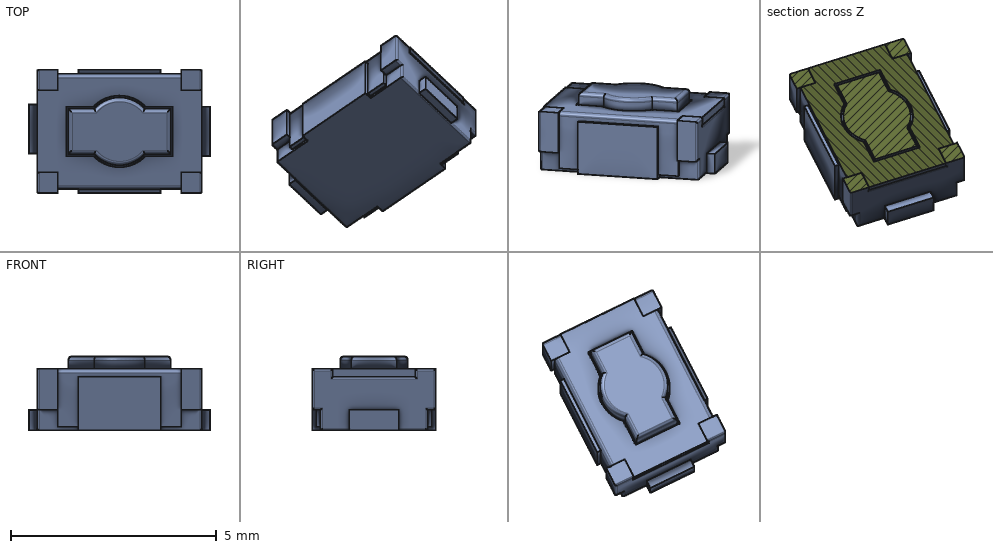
import cadquery as cq
import math

overall_length = 4.4
overall_height = 1.8

housing_length = 4.0
housing_width = 3.0
housing_height = 1.5
post_side = 0.5
end_round = 0.05
undercut_height = 0.495
undercut_depth = 0.2

cover_thickness = 0.2
cover_wall = 0.1
cover_round = 0.1
cover_ground_gap = 0.09

side_block_length = 2.0

button_length = 2.49
button_bar_width = 1.1
button_radius = 0.825
button_round = 0.095
button_gap = 0.05

terminal_width = 1.195
terminal_height = undercut_height
left_terminal_shift = 0.055

core_width = housing_width - 2 * undercut_depth
core_height = housing_height - cover_thickness
post_gap_x = housing_length - 2 * post_side
post_gap_y = housing_width - 2 * post_side
cover_width = core_width + 2 * cover_wall
terminal_length = (overall_length - housing_length) / 2


def block(length, width, bottom, top):
    """Box centred on the Z axis between two heights."""
    return (
        cq.Workplane("XY")
        .workplane(offset=bottom)
        .rect(length, width)
        .extrude(top - bottom)
    )


def button_outline(margin, bottom, top):
    """Bar with a round centre, grown outward by a margin."""
    half_length = button_length / 2 + margin
    half_width = button_bar_width / 2 + margin
    radius = button_radius + margin
    meet_x = math.sqrt(radius**2 - half_width**2)
    return (
        cq.Workplane("XY")
        .workplane(offset=bottom)
        .moveTo(-half_length, -half_width)
        .lineTo(-meet_x, -half_width)
        .threePointArc((0, -radius), (meet_x, -half_width))
        .lineTo(half_length, -half_width)
        .lineTo(half_length, half_width)
        .lineTo(meet_x, half_width)
        .threePointArc((0, radius), (-meet_x, half_width))
        .lineTo(-half_length, half_width)
        .close()
        .extrude(top - bottom)
    )


def make_housing():
    """Moulded block with corner posts, side blocks and the button on its top."""
    lower = block(housing_length, core_width, 0, undercut_height)
    upper = block(housing_length, housing_width, undercut_height, housing_height)
    top_recess = block(housing_length, post_gap_y, core_height, housing_height)
    body = lower.union(upper).cut(top_recess)
    body = body.faces("<X or >X").edges().fillet(end_round)

    middle = block(post_gap_x, housing_width, 0, housing_height)
    core = block(post_gap_x, core_width, 0, core_height)
    body = body.cut(middle.cut(core))

    side_blocks = block(side_block_length, housing_width, 0, core_height)
    button = button_outline(0, core_height, overall_height)
    button = button.faces(">Z").edges().fillet(button_round)
    return body.union(side_blocks).union(button).solids()


def make_cover():
    """Sheet cover: cross-shaped top plate and two windowed side walls."""
    shell = block(post_gap_x, cover_width, cover_ground_gap, housing_height)
    shell = shell.faces(">Z").edges("|X").fillet(cover_round)
    shell = shell.cut(block(post_gap_x, core_width, 0, core_height))

    end_tongues = block(housing_length, post_gap_y, core_height, housing_height)
    windows = block(side_block_length, housing_width, 0, core_height)
    opening = button_outline(button_gap, core_height, housing_height)
    return shell.union(end_tongues).cut(windows).cut(opening).solids()


def make_terminal(side, shift):
    """Solder terminal on one end face; side is -1 or +1 along X."""
    center_x = side * (housing_length + terminal_length) / 2
    terminal = block(terminal_length, terminal_width, 0, terminal_height)
    return terminal.translate((center_x, shift, 0))


housing = make_housing()
cover = make_cover()
terminals = [
    make_terminal(side, shift).val()
    for side, shift in ((-1, left_terminal_shift), (1, 0))
]

result = cq.Compound.makeCompound([housing.val(), cover.val(), *terminals])